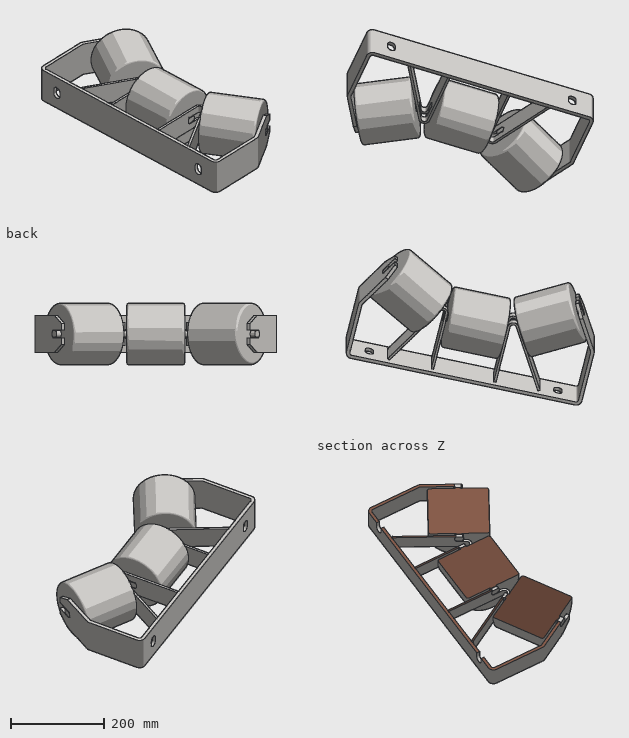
import cadquery as cq
import math

ROLLER_LENGTH = 125.0
ROLLER_DIAMETER = 133.0
ROLLER_EDGE_RADIUS = 5.0
CENTRE_ROLLER_Y = 125.0
SIDE_ROLLER_X = 154.0
SIDE_ROLLER_Y = 168.0
TILT = 30.0
SPINDLE_RADIUS = 10.0
SPINDLE_FLAT_WIDTH = 14.0
SPINDLE_SHOULDER = 2.0
ROLLER_GAP = 3.9

FRAME_WIDTH = 520.0
FRAME_HEIGHT = 80.0
FRAME_THICKNESS = 8.0
FRAME_BEND_RADIUS = 5.0
ARM_TIP_LENGTH = 30.0
ARM_TIP_CUT = 17.0

SUPPORT_HEIGHT = 50.0
SUPPORT_THICKNESS = 5.0
SUPPORT_BEND_RADIUS = 7.0

SPINDLE_SLOT_WIDTH = 16.5
MOUNT_SLOT_WIDTH = 17.5
MOUNT_SLOT_HEIGHT = 27.0
MOUNT_SLOT_X = 208.0

HALF_LENGTH = ROLLER_LENGTH / 2
SHEET_FACE = HALF_LENGTH + ROLLER_GAP
FRAME_STUB = ROLLER_GAP + FRAME_THICKNESS
SUPPORT_STUB = ROLLER_GAP + SUPPORT_THICKNESS
SLOT_REACH = 104.0
TILT_SIN = math.sin(math.radians(TILT))
TILT_COS = math.cos(math.radians(TILT))

CENTRE_PLACE = cq.Location(cq.Vector(0, CENTRE_ROLLER_Y, 0))
LEFT_PLACE = cq.Location(
    cq.Vector(-SIDE_ROLLER_X, SIDE_ROLLER_Y, 0), cq.Vector(0, 0, 1), -TILT
)


def left_point(along, across):
    """XY point given by its distances along and across the left roller's axis."""
    return (
        -SIDE_ROLLER_X + along * TILT_COS + across * TILT_SIN,
        SIDE_ROLLER_Y - along * TILT_SIN + across * TILT_COS,
    )


def left_across_at_x(along, x):
    """Distance across the left roller's axis at which the given X is reached."""
    return (x - left_point(along, 0)[0]) / TILT_SIN


def left_across_at_y(along, y):
    """Distance across the left roller's axis at which the given Y is reached."""
    return (y - left_point(along, 0)[1]) / TILT_COS


def mirrored(points):
    """Points reflected in the YZ plane, in reverse order."""
    return [(-x, y) for x, y in reversed(points)]


def mirrored_body(body):
    return body.mirror("YZ")


def bent_sheet(outer, inner, thickness, inside_radius, height):
    """Upright folded sheet between matching outer and inner paths, with rounded bends."""
    sheet = (
        cq.Workplane("XY", origin=(0, 0, -height / 2))
        .polyline(outer + inner[::-1])
        .close()
        .extrude(height)
    )
    for path, radius in ((outer, inside_radius + thickness), (inner, inside_radius)):
        for x, y in path[1:-1]:
            bend_edge = cq.selectors.NearestToPointSelector((x, y, 0))
            sheet = sheet.edges(bend_edge).fillet(radius)
    return sheet


def roller(left_stub, right_stub):
    """Roller along X, with stubs of the given lengths beyond its two faces."""
    barrel = (
        cq.Workplane("YZ", origin=(-HALF_LENGTH, 0, 0))
        .circle(ROLLER_DIAMETER / 2)
        .extrude(ROLLER_LENGTH)
        .faces("<X or >X")
        .edges()
        .fillet(ROLLER_EDGE_RADIUS)
    )
    spindle = (
        cq.Workplane("YZ", origin=(-HALF_LENGTH - left_stub, 0, 0))
        .circle(SPINDLE_RADIUS)
        .extrude(left_stub + ROLLER_LENGTH + right_stub)
    )
    shoulder_span = ROLLER_LENGTH + 2 * SPINDLE_SHOULDER
    flats = cq.Workplane("XY").box(2 * ROLLER_LENGTH, ROLLER_DIAMETER, SPINDLE_FLAT_WIDTH)
    shoulders = cq.Workplane("XY").box(shoulder_span, ROLLER_DIAMETER, ROLLER_DIAMETER)
    return barrel.union(spindle.intersect(flats.union(shoulders)))


def spindle_slot(depth, side):
    """Cutter for an open slot seating a spindle, beyond the roller face on side -1 or +1."""
    half_width = SPINDLE_SLOT_WIDTH / 2
    seat_start = -math.sqrt(SPINDLE_RADIUS**2 - half_width**2)
    return (
        cq.Workplane("YZ", origin=(side * HALF_LENGTH, 0, 0))
        .moveTo(SLOT_REACH, half_width)
        .lineTo(seat_start, half_width)
        .threePointArc((-SPINDLE_RADIUS, 0), (seat_start, -half_width))
        .lineTo(SLOT_REACH, -half_width)
        .close()
        .extrude(side * depth)
        .val()
    )


def arm_tip_cutter():
    """Wedges that taper the tip of the left arm, above and below, in roller coordinates."""
    half_height = FRAME_HEIGHT / 2
    wedge = (
        cq.Workplane("YZ", origin=(-HALF_LENGTH, 0, 0))
        .polyline([
            (0, half_height),
            (ARM_TIP_LENGTH, half_height),
            (ARM_TIP_LENGTH, half_height - ARM_TIP_CUT),
        ])
        .close()
        .extrude(-FRAME_STUB)
    )
    return wedge.union(wedge.mirror("XY")).val()


def make_frame():
    half_width = FRAME_WIDTH / 2
    outer_along = -SHEET_FACE - FRAME_THICKNESS
    inner_along = -SHEET_FACE
    inner_x = -half_width + FRAME_THICKNESS
    outer_knee = left_across_at_x(outer_along, -half_width)
    inner_knee = left_across_at_x(inner_along, inner_x)
    outer = [
        left_point(outer_along, ARM_TIP_LENGTH),
        left_point(outer_along, outer_knee),
        (-half_width, 0),
    ]
    inner = [
        left_point(inner_along, ARM_TIP_LENGTH),
        left_point(inner_along, inner_knee),
        (inner_x, FRAME_THICKNESS),
    ]
    body = bent_sheet(
        outer + mirrored(outer),
        inner + mirrored(inner),
        FRAME_THICKNESS,
        FRAME_BEND_RADIUS,
        FRAME_HEIGHT,
    )
    for cutter in (arm_tip_cutter(), spindle_slot(FRAME_STUB, -1)):
        arm_cut = cq.Workplane(cutter.moved(LEFT_PLACE))
        body = body.cut(arm_cut).cut(mirrored_body(arm_cut))
    mount_slots = (
        cq.Workplane("XZ")
        .pushPoints([(-MOUNT_SLOT_X, 0), (MOUNT_SLOT_X, 0)])
        .slot2D(MOUNT_SLOT_HEIGHT, MOUNT_SLOT_WIDTH, 90)
        .extrude(-FRAME_THICKNESS)
    )
    return body.cut(mount_slots)


def make_left_support():
    outer_along = SHEET_FACE
    inner_along = SHEET_FACE + SUPPORT_THICKNESS
    outer_x = -SHEET_FACE
    inner_x = outer_x - SUPPORT_THICKNESS
    foot = left_across_at_y(inner_along, FRAME_THICKNESS)
    outer = [
        left_point(outer_along, foot),
        left_point(outer_along, left_across_at_x(outer_along, outer_x)),
        (outer_x, FRAME_THICKNESS),
    ]
    inner = [
        left_point(inner_along, foot),
        left_point(inner_along, left_across_at_x(inner_along, inner_x)),
        (inner_x, FRAME_THICKNESS),
    ]
    body = bent_sheet(outer, inner, SUPPORT_THICKNESS, SUPPORT_BEND_RADIUS, SUPPORT_HEIGHT)
    slot_depth = ROLLER_GAP + 2 * (SUPPORT_BEND_RADIUS + SUPPORT_THICKNESS)
    for cutter, place in (
        (spindle_slot(slot_depth, 1), LEFT_PLACE),
        (spindle_slot(slot_depth, -1), CENTRE_PLACE),
    ):
        body = body.cut(cq.Workplane(cutter.moved(place)))
    return body


frame = make_frame()

left_support = make_left_support()
supports = [left_support, mirrored_body(left_support)]

centre_roller = cq.Workplane(roller(SUPPORT_STUB, SUPPORT_STUB).val().moved(CENTRE_PLACE))
left_roller = cq.Workplane(roller(FRAME_STUB, SUPPORT_STUB).val().moved(LEFT_PLACE))
rollers = [left_roller, centre_roller, mirrored_body(left_roller)]

bodies = [frame, *supports, *rollers]
result = cq.Compound.makeCompound([body.solids().val() for body in bodies])